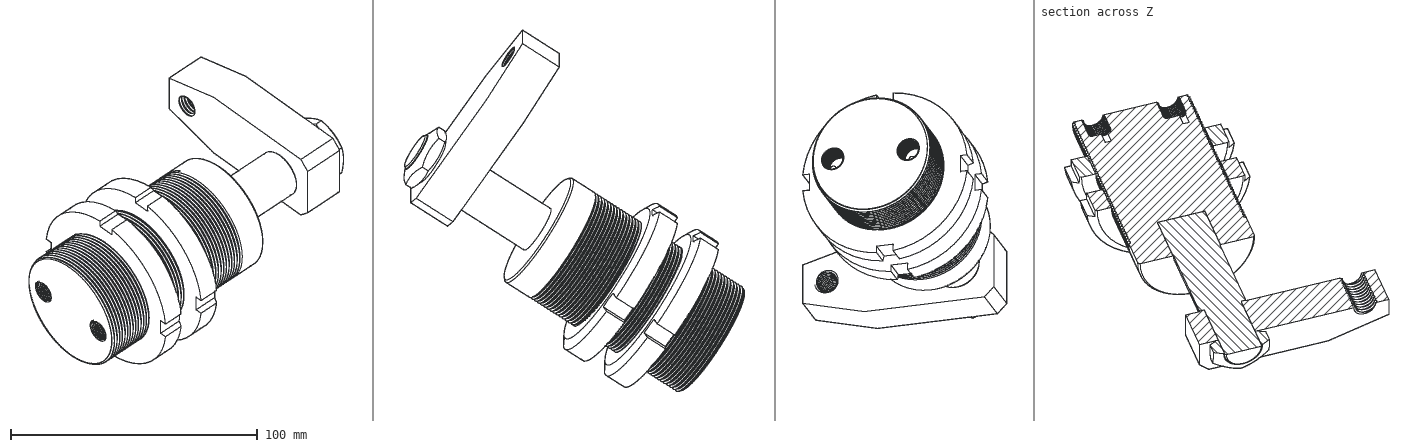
import cadquery as cq
import math


BODY_DIAMETER = 50.0
BODY_LENGTH = 85.0
BODY_END_CHAMFER = 0.8
BODY_THREAD_PITCH = 1.5
COLLAR_LENGTH = 12.0
THREAD_START_ANGLE = 120.0

PORT_CORE_DIAMETER = 8.566
PORT_THREAD_PITCH = 0.907
PORT_OFFSET = 16.0
PORT_DEPTH = 10.0
ORIFICE_DIAMETER = 2.4
ORIFICE_DEPTH = 5.0
LEFT_ORIFICE_X = -18.8
RIGHT_ORIFICE_X = 14.5

RING_DIAMETER = 70.0
RING_THICKNESS = 11.0
RING_CHAMFER_HEIGHT = 2.2
RING_CHAMFER_ANGLE = 30.0
RING_SLOT_WIDTH = 7.0
RING_SLOT_FLOOR_RADIUS = 32.0
RING_SLOT_COUNT = 4
RING_SEATS = (20.0, 40.0)

ROD_DIAMETER = 20.0
ROD_CHAMFER = 0.5
ROD_INSERTION = 20.0
STUD_DIAMETER = 16.0
STUD_CHAMFER = 0.6
OVERALL_LENGTH = 144.9

ARM_BOTTOM = 118.1
ARM_THICKNESS = 18.0
ARM_WIDTH = 31.0
ARM_REACH = 65.0
ARM_BACK = 16.0
ARM_BACK_CHAMFER = 4.0
ARM_TIP_WIDTH = 17.0
ARM_TAPER_ANGLE = 15.0
ARM_HOLE_FROM_TIP = 10.0
ARM_HOLE_CORE_DIAMETER = 8.376
ARM_HOLE_PITCH = 1.5

NUT_ACROSS_FLATS = 24.0
NUT_THICKNESS = 8.0
NUT_SEAT_RADIUS = 9.2
NUT_SEAT_CHAMFER_HEIGHT = 2.2
NUT_END_RADIUS = 8.3
NUT_END_CHAMFER_HEIGHT = 2.9

THREAD_DEPTH_RATIO = 0.5413
THREAD_MOUTH_RATIO = 7 / 8
THREAD_FLANK_ANGLE = 30.0
THREAD_OVERSHOOT_RATIO = 0.03

ROD_END = ARM_BOTTOM
ARM_TOP = ARM_BOTTOM + ARM_THICKNESS


def cylinder(x, y_start, y_end, diameter):
    """Cylinder along Y between two stations, centred at the given X."""
    return (
        cq.Workplane("XZ", origin=(x, y_end, 0))
        .circle(diameter / 2)
        .extrude(y_end - y_start)
    )


def turned(points):
    """Solid turned about the Y axis from (radius, Y) points."""
    return cq.Workplane("XY").polyline(points).close().revolve(360, (0, 0, 0), (0, 1, 0))


def thread_groove(x, y_start, y_end, pitch, radius, inward, start_angle=0.0):
    """Right-handed helical V groove running from y_start towards -Y, in whole turns, to y_end or past it.

    It is cut into the surface of the given radius: towards the axis when
    inward is 1 (a screw), away from it when inward is -1 (a tapped hole).
    The flanks are made one turn at a time, and the start angle is measured from +X towards +Z.
    """
    flank_slope = math.tan(math.radians(THREAD_FLANK_ANGLE))
    depth = THREAD_DEPTH_RATIO * pitch
    overshoot = THREAD_OVERSHOOT_RATIO * pitch
    mouth_half = THREAD_MOUTH_RATIO * pitch / 2 + overshoot * flank_slope
    root_half = mouth_half - (depth + overshoot) * flank_slope
    mouth_radius = radius + inward * overshoot
    root_radius = radius - inward * depth
    corners = [
        (mouth_radius, -mouth_half),
        (root_radius, -root_half),
        (root_radius, root_half),
        (mouth_radius, mouth_half),
    ]
    edges = [cq.Wire.makeHelix(pitch, pitch, r).translate(cq.Vector(0, 0, z)) for r, z in corners]
    one_turn = [cq.Face.makeRuledSurface(edges[i - 1], edges[i]) for i in range(len(edges))]
    end_outline = cq.Wire.makePolygon([cq.Vector(r, 0, z) for r, z in corners], close=True)
    end_face = cq.Face.makeFromWires(end_outline)

    turns = math.ceil((y_start - y_end) / pitch)
    faces = [face.translate(cq.Vector(0, 0, turn * pitch)) for turn in range(turns) for face in one_turn]
    faces += [end_face, end_face.translate(cq.Vector(0, 0, turns * pitch))]
    groove = cq.Workplane(obj=cq.Solid.makeSolid(cq.Shell.makeShell(faces)))
    return (
        groove.rotate((0, 0, 0), (0, 0, 1), start_angle)
        .rotate((0, 0, 0), (1, 0, 0), 90)
        .translate((x, y_start, 0))
    )


def make_body():
    body = cylinder(0, 0, BODY_LENGTH, BODY_DIAMETER).faces("<Y or >Y").chamfer(BODY_END_CHAMFER)
    body = body.cut(cylinder(0, BODY_LENGTH - ROD_INSERTION, BODY_LENGTH, ROD_DIAMETER))
    for port_x, orifice_x in ((-PORT_OFFSET, LEFT_ORIFICE_X), (PORT_OFFSET, RIGHT_ORIFICE_X)):
        port_thread = thread_groove(
            port_x,
            PORT_DEPTH - PORT_THREAD_PITCH,
            -PORT_THREAD_PITCH,
            PORT_THREAD_PITCH,
            PORT_CORE_DIAMETER / 2,
            -1,
        )
        body = body.cut(cylinder(port_x, 0, PORT_DEPTH, PORT_CORE_DIAMETER))
        body = body.cut(cylinder(orifice_x, PORT_DEPTH, PORT_DEPTH + ORIFICE_DEPTH, ORIFICE_DIAMETER))
        body = body.cut(port_thread, clean=False)
    body_thread = thread_groove(
        0,
        BODY_LENGTH - COLLAR_LENGTH,
        -BODY_THREAD_PITCH,
        BODY_THREAD_PITCH,
        BODY_DIAMETER / 2,
        1,
        THREAD_START_ANGLE,
    )
    return body.cut(body_thread, clean=False)


def make_ring_nut(seat):
    outer = RING_DIAMETER / 2
    bore = BODY_DIAMETER / 2
    top = seat + RING_THICKNESS
    chamfer_width = RING_CHAMFER_HEIGHT / math.tan(math.radians(RING_CHAMFER_ANGLE))
    ring = turned(
        [
            (bore, seat),
            (outer, seat),
            (outer, top - RING_CHAMFER_HEIGHT),
            (outer - chamfer_width, top),
            (bore, top),
        ]
    )
    slots = (
        cq.Workplane("XZ", origin=(0, top, 0))
        .polarArray(RING_SLOT_FLOOR_RADIUS + RING_SLOT_WIDTH / 2, 0, 360, RING_SLOT_COUNT)
        .rect(RING_SLOT_WIDTH, RING_SLOT_WIDTH)
        .extrude(RING_THICKNESS)
    )
    return ring.cut(slots)


def make_rod():
    rod = cylinder(0, BODY_LENGTH - ROD_INSERTION, ROD_END, ROD_DIAMETER).faces(">Y").chamfer(ROD_CHAMFER)
    stud = cylinder(0, ROD_END, OVERALL_LENGTH, STUD_DIAMETER).faces(">Y").chamfer(STUD_CHAMFER)
    return rod.union(stud)


def make_arm():
    half = ARM_WIDTH / 2
    tip_half = ARM_TIP_WIDTH / 2
    taper_end = -ARM_REACH + (half - tip_half) / math.tan(math.radians(ARM_TAPER_ANGLE))
    arm = (
        cq.Workplane("XZ", origin=(0, ARM_TOP, 0))
        .polyline(
            [
                (-ARM_REACH, -tip_half),
                (taper_end, -half),
                (ARM_BACK - ARM_BACK_CHAMFER, -half),
                (ARM_BACK, -half + ARM_BACK_CHAMFER),
                (ARM_BACK, half - ARM_BACK_CHAMFER),
                (ARM_BACK - ARM_BACK_CHAMFER, half),
                (taper_end, half),
                (-ARM_REACH, tip_half),
            ]
        )
        .close()
        .extrude(ARM_THICKNESS)
        .cut(cylinder(0, ARM_BOTTOM, ARM_TOP, STUD_DIAMETER))
    )
    hole_x = ARM_HOLE_FROM_TIP - ARM_REACH
    arm = arm.cut(cylinder(hole_x, ARM_BOTTOM, ARM_TOP, ARM_HOLE_CORE_DIAMETER))
    arm_thread = thread_groove(
        hole_x,
        ARM_TOP + ARM_HOLE_PITCH,
        ARM_BOTTOM - ARM_HOLE_PITCH,
        ARM_HOLE_PITCH,
        ARM_HOLE_CORE_DIAMETER / 2,
        -1,
    )
    return arm.cut(arm_thread, clean=False)


def make_hex_nut():
    corner_radius = NUT_ACROSS_FLATS / math.sqrt(3)
    nut_end = ARM_TOP + NUT_THICKNESS
    hexagon = (
        cq.Workplane("XZ", origin=(0, nut_end, 0))
        .transformed(rotate=(0, 0, 90))
        .polygon(6, 2 * corner_radius)
        .extrude(NUT_THICKNESS)
    )
    envelope = turned(
        [
            (STUD_DIAMETER / 2, ARM_TOP),
            (NUT_SEAT_RADIUS, ARM_TOP),
            (corner_radius, ARM_TOP + NUT_SEAT_CHAMFER_HEIGHT),
            (corner_radius, nut_end - NUT_END_CHAMFER_HEIGHT),
            (NUT_END_RADIUS, nut_end),
            (STUD_DIAMETER / 2, nut_end),
        ]
    )
    return hexagon.intersect(envelope)


body = make_body()
ring_nuts = [make_ring_nut(seat) for seat in RING_SEATS]
rod = make_rod()
arm = make_arm()
hex_nut = make_hex_nut()

bodies = [body, *ring_nuts, rod, arm, hex_nut]
result = cq.Compound.makeCompound([part.solids().val() for part in bodies])